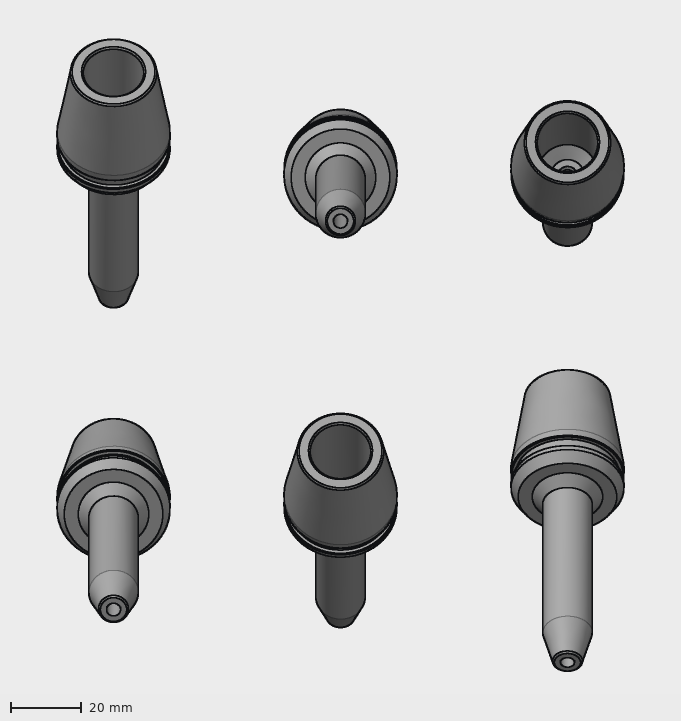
import cadquery as cq
import math

total_height = 101.6
tip_top = 11.4
shank_top = 60.7
flare_top = 63.6
collar_bevel_top = 67.0
groove_bottom = 68.8
groove_top = 72.1
cone_bottom = 74.9

shank_diameter = 14.0
tip_diameter = 8.4
collar_diameter = 31.9
collar_foot_diameter = 27.8
groove_diameter = 29.3
head_top_diameter = 24.4

rim_chamfer = 0.5
groove_chamfer = 0.3
tip_chamfer = 0.5

socket_diameter = 17.1
socket_floor_diameter = 9.4
socket_cone_angle = 30.0
socket_floor = flare_top
passage_diameter = 4.0
passage_mouth_diameter = 5.5

shank_radius = shank_diameter / 2
flare_radius = shank_radius + flare_top - shank_top
collar_radius = collar_diameter / 2
groove_radius = groove_diameter / 2
tip_radius = tip_diameter / 2
head_top_radius = head_top_diameter / 2


def revolve_profile(points):
    """Revolve a closed (radius, height) profile about the Z axis."""
    return cq.Workplane("YZ").polyline(points).close().revolve(360, (0, 0, 0), (0, 1, 0))


def make_body():
    """Solid outer shape: tapered tip, shank, flare, grooved collar and tapered head."""
    return revolve_profile([
        (0, 0),
        (tip_radius - tip_chamfer, 0),
        (tip_radius, tip_chamfer),
        (shank_radius, tip_top),
        (shank_radius, shank_top),
        (flare_radius, flare_top),
        (collar_foot_diameter / 2, flare_top),
        (collar_radius, collar_bevel_top),
        (collar_radius, groove_bottom - groove_chamfer),
        (collar_radius - groove_chamfer, groove_bottom),
        (groove_radius, groove_bottom),
        (groove_radius, groove_top),
        (collar_radius - groove_chamfer, groove_top),
        (collar_radius, groove_top + groove_chamfer),
        (collar_radius, cone_bottom),
        (head_top_radius, total_height - rim_chamfer),
        (head_top_radius - rim_chamfer, total_height),
        (0, total_height),
    ])


def make_bore():
    """Hollow inside: chamfered socket with a conical end, then a passage out of the tip."""
    socket_radius = socket_diameter / 2
    floor_radius = socket_floor_diameter / 2
    passage_radius = passage_diameter / 2
    mouth_radius = passage_mouth_diameter / 2
    cone_height = (socket_radius - floor_radius) * math.tan(math.radians(socket_cone_angle))
    mouth_depth = mouth_radius - passage_radius
    return revolve_profile([
        (0, 0),
        (passage_radius, 0),
        (passage_radius, socket_floor - mouth_depth),
        (mouth_radius, socket_floor),
        (floor_radius, socket_floor),
        (socket_radius, socket_floor + cone_height),
        (socket_radius, total_height - rim_chamfer),
        (socket_radius + rim_chamfer, total_height),
        (0, total_height),
    ])


result = make_body().cut(make_bore())